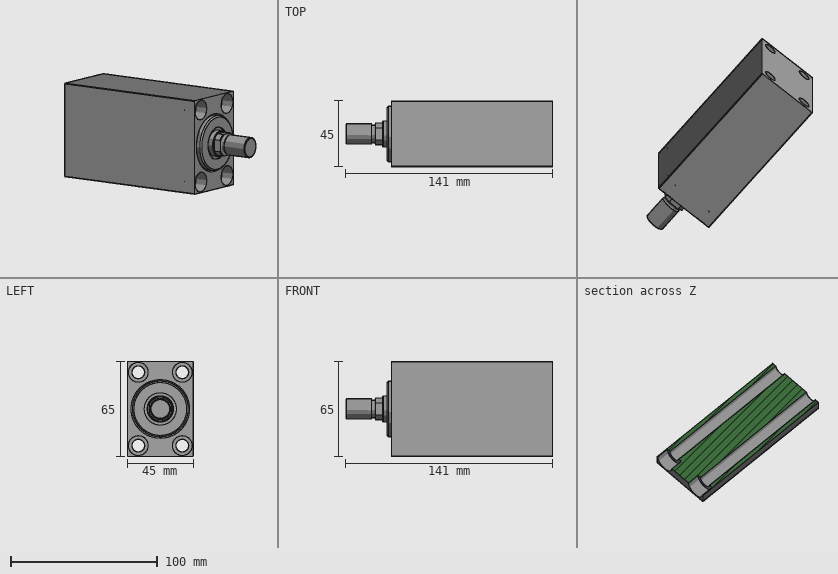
import cadquery as cq
housing_length = 110.0
housing_width = 45.0
housing_height = 65.0
edge_chamfer = 0.5

hole_spacing_y = 30.0
hole_spacing_z = 50.0
hole_diameter = 8.5
counterbore_diameter = 13.5
counterbore_depth = 9.0

bore_diameter = 38.0
bore_chamfer = 1.0
bore_chamfer_angle = 45.0
gland_projection = 3.0
gland_depth = 15.0
gland_chamfer = 1.0

wiper_diameter = 22.0
wiper_width = 5.0
wiper_setback = 1.3

overall_length = 141.0
rod_diameter = 18.0
rod_chamfer = 0.5
thread_diameter = 14.0
thread_length = 17.5
thread_tip_diameter = 12.7
thread_chamfer_length = 0.5
relief_diameter = 12.1
relief_width = 2.5
relief_fillet = 0.5
wrench_diameter = 17.0
wrench_across_flats = 15.0
wrench_length = 5.0
wrench_chamfer_length = 0.3
wrench_chamfer_height = 0.5

rod_tip = housing_length - overall_length
thread_end = rod_tip + thread_length
relief_end = thread_end + relief_width
wrench_end = relief_end + wrench_length
gland_face = -gland_projection
wiper_face = gland_face + wiper_setback
wiper_back = wiper_face + wiper_width


def cylinder(diameter, start, end):
    """Solid cylinder on the rod axis between two X positions."""
    return cq.Workplane("YZ", origin=(start, 0, 0)).circle(diameter / 2).extrude(end - start)


def make_housing():
    """Rectangular block with bevelled long edges, a blind front bore and four counterbored holes."""
    block = (
        cq.Workplane("YZ")
        .rect(housing_width, housing_height)
        .extrude(housing_length)
        .edges("|X")
        .chamfer(edge_chamfer)
    )
    bore = cylinder(bore_diameter, 0, gland_depth)
    mouth_radius = bore_diameter / 2 + bore_chamfer
    mouth = cq.Workplane("YZ").circle(mouth_radius).extrude(bore_chamfer, taper=bore_chamfer_angle)
    block = block.cut(bore).cut(mouth)
    holes = cq.Workplane("YZ").rect(hole_spacing_y, hole_spacing_z, forConstruction=True).vertices()
    block = block.cut(holes.circle(hole_diameter / 2).extrude(housing_length))
    return block.cut(holes.circle(counterbore_diameter / 2).extrude(counterbore_depth))


def make_gland():
    """Plug filling the bore, chamfered at its projecting rim, with a seat for the wiper."""
    plug = cylinder(bore_diameter, gland_face, gland_depth).faces("<X").chamfer(gland_chamfer)
    plug = plug.cut(cylinder(rod_diameter, gland_face, gland_depth))
    return plug.cut(cylinder(wiper_diameter, gland_face, wiper_back))


def make_wiper():
    """Ring between the rod and its seat in the gland."""
    ring = cylinder(wiper_diameter, wiper_face, wiper_back)
    return ring.cut(cylinder(rod_diameter, wiper_face, wiper_back))


def make_rod():
    """Rod with a bevelled threaded end, a filleted thread relief and a four-flat wrench section."""
    tip_chamfer_height = (thread_diameter - thread_tip_diameter) / 2
    thread = cylinder(thread_diameter, rod_tip, thread_end)
    thread = thread.faces("<X").chamfer(thread_chamfer_length, tip_chamfer_height)
    relief = cylinder(relief_diameter, thread_end, relief_end)
    flats = (
        cq.Workplane("YZ", origin=(relief_end, 0, 0))
        .rect(wrench_across_flats, wrench_across_flats)
        .extrude(wrench_length)
    )
    wrench = cylinder(wrench_diameter, relief_end, wrench_end)
    wrench = wrench.faces("<X").chamfer(wrench_chamfer_length, wrench_chamfer_height)
    wrench = wrench.intersect(flats)
    shank = cylinder(rod_diameter, wrench_end, gland_depth).faces("<X").chamfer(rod_chamfer)
    rod = shank.union(wrench).union(relief).union(thread)
    relief_corners = rod.edges(cq.selectors.RadiusNthSelector(0))
    return relief_corners.fillet(relief_fillet)


housing = make_housing()
gland = make_gland()
wiper = make_wiper()
rod = make_rod()

result = cq.Compound.makeCompound([housing.val(), gland.val(), wiper.val(), rod.val()])